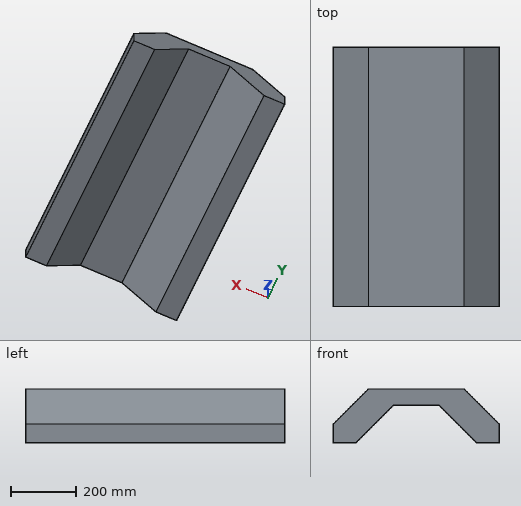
import cadquery as cq

width = 508.0
length = 793.75
height = 165.1

outer_bevel = 107.95
foot_width = 69.85
roof_thickness = 50.8

half_width = width / 2
shoulder_height = height - outer_bevel
channel_height = height - roof_thickness
channel_half_base = half_width - foot_width
channel_half_roof = channel_half_base - channel_height


def arch_section():
    """Closed arch section in XZ: the right side and its mirror image across the Z axis."""
    right_side = [
        (channel_half_roof, channel_height),
        (channel_half_base, 0),
        (half_width, 0),
        (half_width, shoulder_height),
        (half_width - outer_bevel, height),
    ]
    left_side = [(-x, z) for x, z in reversed(right_side)]
    return cq.Workplane("XZ").polyline(right_side + left_side).close()


result = arch_section().extrude(length / 2, both=True)